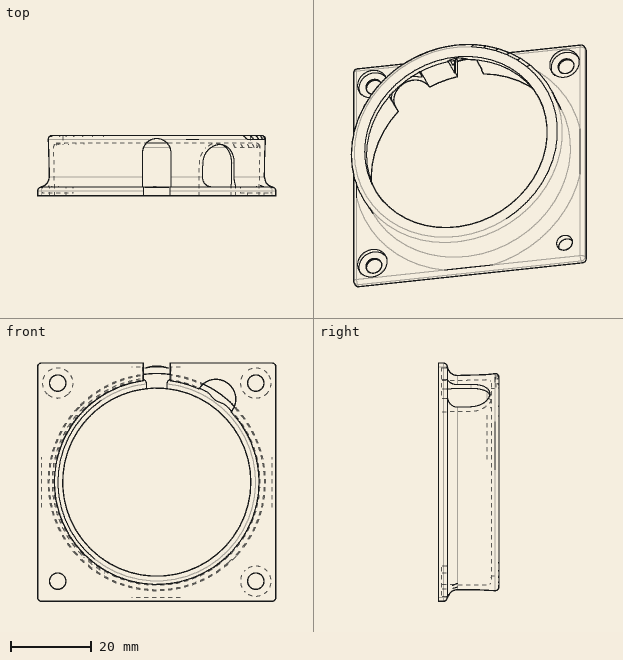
import cadquery as cq
import math

plate_size = 59.0
plate_thickness = 2.2
plate_edge_radius = 1.0
screw_hole_diameter = 4.0
screw_hole_spacing = 49.0
counterbore_diameter = 7.5
screw_hole_land = 0.7

total_depth = 15.0
ring_front_outer_radius = 26.65
ring_rear_outer_radius = 26.9
ring_wall = 1.35
ring_rear_rounding = 1.0
flare_radius = 2.5

lip_bore_radius = 46.5 / 2
lip_thickness = 1.9
lip_inner_fillet = 1.1

slot_width = 7.0
plate_gap_width = 6.6
slot_end_y = 14.2

pocket_radius = 4.9
pocket_end_y = 13.0
pocket_center_radius = 25.2
pocket_angle = 35.5

strip_half_span = 2.95
strip_end_z = 28.2
strip_crest_z = 28.75
strip_crest_height = 0.2
strip_front_y = 2.05
strip_thickness = 0.15

ring_front_inner_radius = ring_front_outer_radius - ring_wall
ring_rear_inner_radius = ring_rear_outer_radius - ring_wall
lip_front_y = total_depth - lip_thickness
flare_end_y = plate_thickness + flare_radius
flare_outer_radius = ring_front_outer_radius + flare_radius
diagonal = math.sqrt(0.5)


def make_plate():
    """Square plate with rounded corners, rounded rear edge and four screw holes.

    All holes but the one at the -X, -Z corner are counterbored from the back.
    """
    plate = cq.Workplane("XZ").rect(plate_size, plate_size).extrude(-plate_thickness)
    plate = plate.edges("|Y").fillet(plate_edge_radius)
    plate = plate.faces(">Y").edges().fillet(plate_edge_radius)
    holes = (
        cq.Workplane("XZ")
        .rect(screw_hole_spacing, screw_hole_spacing, forConstruction=True)
        .vertices()
        .circle(screw_hole_diameter / 2)
        .extrude(-plate_thickness)
    )
    offset = screw_hole_spacing / 2
    counterbores = (
        cq.Workplane("XZ", origin=(0, screw_hole_land, 0))
        .pushPoints([(-offset, offset), (offset, offset), (offset, -offset)])
        .circle(counterbore_diameter / 2)
        .extrude(screw_hole_land - plate_thickness)
    )
    return plate.cut(holes).cut(counterbores)


def make_drum():
    """Solid tapered drum with a rounded rear edge and a flare onto the plate."""
    flare_inset = flare_radius * (1 - diagonal)
    rounding_inset = ring_rear_rounding * (1 - diagonal)
    drum = (
        cq.Workplane("XY")
        .lineTo(ring_front_outer_radius, 0)
        .lineTo(flare_outer_radius, plate_thickness)
        .threePointArc(
            (ring_front_outer_radius + flare_inset, plate_thickness + flare_inset),
            (ring_front_outer_radius, flare_end_y),
        )
        .lineTo(ring_rear_outer_radius, total_depth - ring_rear_rounding)
        .threePointArc(
            (ring_rear_outer_radius - rounding_inset, total_depth - rounding_inset),
            (ring_rear_outer_radius - ring_rear_rounding, total_depth),
        )
        .lineTo(0, total_depth)
        .close()
        .revolve(360, (0, 0, 0), (0, 1, 0))
    )
    flat_size = plate_size - 2 * plate_edge_radius
    clip = cq.Workplane("XZ").rect(flat_size, flat_size).extrude(-total_depth)
    return drum.intersect(clip)


def make_bore():
    """Tapered opening from the plate's front face, narrowed by a fillet to the lip bore."""
    fillet_inset = lip_inner_fillet * (1 - diagonal)
    return (
        cq.Workplane("XY")
        .lineTo(ring_front_inner_radius, 0)
        .lineTo(ring_rear_inner_radius, lip_front_y - lip_inner_fillet)
        .threePointArc(
            (ring_rear_inner_radius - fillet_inset, lip_front_y - fillet_inset),
            (ring_rear_inner_radius - lip_inner_fillet, lip_front_y),
        )
        .lineTo(lip_bore_radius, lip_front_y)
        .lineTo(lip_bore_radius, total_depth)
        .lineTo(0, total_depth)
        .close()
        .revolve(360, (0, 0, 0), (0, 1, 0))
    )


def make_slot():
    """Upright slot, rounded at its rear end and a little narrower through the plate."""
    round_center_y = slot_end_y - slot_width / 2
    return (
        cq.Workplane("XY")
        .moveTo(-plate_gap_width / 2, 0)
        .lineTo(plate_gap_width / 2, 0)
        .lineTo(plate_gap_width / 2, plate_thickness)
        .lineTo(slot_width / 2, plate_thickness)
        .lineTo(slot_width / 2, round_center_y)
        .threePointArc((0, slot_end_y), (-slot_width / 2, round_center_y))
        .lineTo(-slot_width / 2, plate_thickness)
        .lineTo(-plate_gap_width / 2, plate_thickness)
        .close()
        .extrude(plate_size)
    )


def make_pocket():
    """Cylinder along Y with a hemispherical rear end."""
    angle = math.radians(pocket_angle)
    center_x = pocket_center_radius * math.sin(angle)
    center_z = pocket_center_radius * math.cos(angle)
    sphere_y = pocket_end_y - pocket_radius
    barrel = (
        cq.Workplane("XZ")
        .center(center_x, center_z)
        .circle(pocket_radius)
        .extrude(-sphere_y)
    )
    dome = cq.Workplane("XY").sphere(pocket_radius).translate((center_x, sphere_y, center_z))
    return barrel.union(dome)


def make_housing():
    """Plate and drum joined, with the bore, slot and pocket cut away."""
    housing = make_plate().union(make_drum())
    return housing.cut(make_bore()).cut(make_slot()).cut(make_pocket())


def make_strip():
    """Thin crescent that arches across the slot."""
    return (
        cq.Workplane("XZ", origin=(0, strip_front_y, 0))
        .moveTo(-strip_half_span, strip_end_z)
        .threePointArc((0, strip_crest_z), (strip_half_span, strip_end_z))
        .threePointArc((0, strip_crest_z - strip_crest_height), (-strip_half_span, strip_end_z))
        .close()
        .extrude(-strip_thickness)
    )


housing = make_housing()
strip = make_strip()

result = cq.Compound.makeCompound([housing.val(), strip.val()])